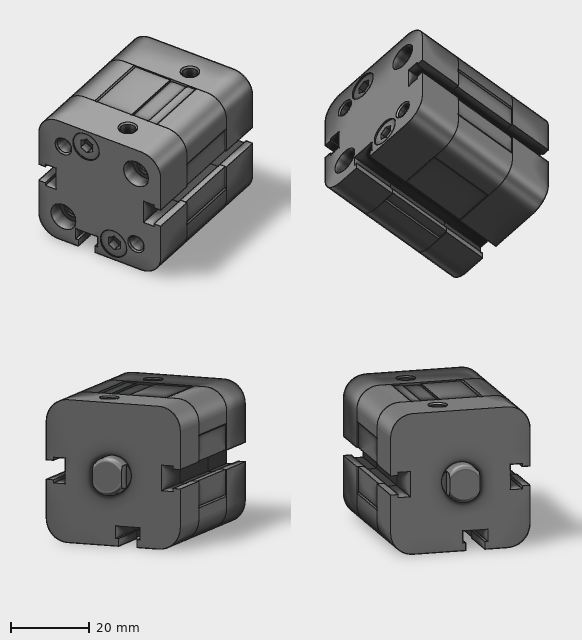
import cadquery as cq
import math

width = 37.0
total_length = 47.5
cap_length = 12.35
barrel_length = 18.52
corner_radius = 6.0
half_width = width / 2
body_length = 2 * cap_length + barrel_length
rear_cap_start = cap_length + barrel_length

slot_opening = 5.05
slot_inner_width = 6.65
slot_depth = 5.22
lip_thickness = 2.0
bottom_slot_x = -4.0

panel_width = 18.9
panel_depth = 0.4

groove_x = -bottom_slot_x
groove_width = 5.1
groove_edge_depth = 0.95
crown_depth = 0.65
crown_flat_width = 1.95

thread_diameter = 4.15
thread_mouth_diameter = 5.0
thread_chamfer = (thread_mouth_diameter - thread_diameter) / 2
mounting_offset = 11.0
mounting_hole_depth = 9.5
counterbore_diameter = 7.5
counterbore_depth = 4.2
port_x = groove_x
port_inset = 7.05
port_depth = 5.7

screw_x = 4.2
screw_z = 13.6
screw_diameter = 8.0
screw_recess = 0.4
hex_across_flats = 3.6
hex_depth = 2.85

rod_diameter = 9.98
rod_end_fillet = 1.25
rod_flats_width = 8.0
rod_flats_clearance = 0.95
rod_projection = total_length - body_length
rod_length = rod_projection + cap_length


def extrude_along_y(outline, start, length):
    """Extrude a closed XZ outline from Y = start towards +Y."""
    return outline.extrude(-length).translate((0, start, 0))


def turned_to_side(shape, quarter_turns):
    """Turn a shape about the cylinder axis from the bottom to another side."""
    return shape.rotate((0, 0, 0), (0, 1, 0), 90 * quarter_turns)


def t_slot(start, length):
    """Cutter for a T-slot in the bottom: a narrow opening between two lips and a wider channel."""
    opening = slot_opening / 2
    inner = slot_inner_width / 2
    floor_z = -half_width + slot_depth
    lip_z = -half_width + lip_thickness
    half = [(opening, -half_width), (opening, lip_z), (inner, lip_z), (inner, floor_z)]
    mirrored = [(-x, z) for x, z in reversed(half)]
    return extrude_along_y(cq.Workplane("XZ").polyline(half + mirrored).close(), start, length)


def profile_block(start, length):
    """Square block with rounded long edges and T-slots on three sides."""
    block = extrude_along_y(cq.Workplane("XZ").rect(width, width), start, length)
    block = block.edges("|Y").fillet(corner_radius)
    slot = t_slot(start, length)
    for quarter_turns in (-1, 1):
        block = block.cut(turned_to_side(slot, quarter_turns))
    return block.cut(slot.translate((bottom_slot_x, 0, 0)))


def threaded_hole(depth):
    """Cutter for a chamfered blind hole entering along +Y from the origin."""
    radius = thread_diameter / 2
    mouth = thread_mouth_diameter / 2
    half_section = [(0, 0), (mouth, 0), (radius, thread_chamfer), (radius, depth), (0, depth)]
    return cq.Workplane("XY").polyline(half_section).close().revolve(360, (0, 0, 0), (0, 1, 0))


def cylinder_along_y(diameter, start, length):
    return extrude_along_y(cq.Workplane("XZ").circle(diameter / 2), start, length)


def with_port(cap, y):
    """Cut the threaded port into the top of a cap."""
    port = threaded_hole(port_depth).rotate((0, 0, 0), (1, 0, 0), -90)
    return cap.cut(port.translate((port_x, y, half_width)))


def make_front_cap():
    cap = with_port(profile_block(0, cap_length), port_inset)

    counterbore = cylinder_along_y(counterbore_diameter, 0, counterbore_depth)
    for x_side in (-1, 1):
        for z_side in (-1, 1):
            x = x_side * mounting_offset
            z = z_side * mounting_offset
            start = 0
            if x_side == z_side:
                start = counterbore_depth
                cap = cap.cut(counterbore.translate((x, 0, z)))
            cap = cap.cut(threaded_hole(mounting_hole_depth - start).translate((x, start, z)))

    hex_diameter = hex_across_flats / math.cos(math.pi / 6)
    socket = cq.Workplane("XZ").polygon(6, hex_diameter).extrude(-hex_depth)
    socket = socket.rotate((0, 0, 0), (0, 1, 0), 30)
    screw_head = cylinder_along_y(screw_diameter, 0, screw_recess).union(socket)
    for side in (-1, 1):
        cap = cap.cut(screw_head.translate((side * screw_x, 0, -side * screw_z)))
    return cap


def make_rear_cap():
    cap = with_port(profile_block(rear_cap_start, cap_length), body_length - port_inset)
    return cap.cut(cylinder_along_y(rod_diameter, rear_cap_start, cap_length))


def panel_recess():
    """Cutter for the shallow panel in the bottom of the barrel."""
    outer = panel_width / 2
    inner = outer - panel_depth
    floor_z = -half_width + panel_depth
    points = [(-outer, -half_width), (outer, -half_width), (inner, floor_z), (-inner, floor_z)]
    return extrude_along_y(cq.Workplane("XZ").polyline(points).close(), cap_length, barrel_length)


def crowned_groove():
    """Cutter for the top groove, its floor flat in the middle and curving down to both walls."""
    edge = groove_width / 2
    flat = crown_flat_width / 2
    edge_z = half_width - groove_edge_depth
    flat_z = half_width - crown_depth
    run = edge - flat
    drop = flat_z - edge_z
    crown_radius = (run**2 + drop**2) / (2 * drop)
    half_angle = math.asin(run / crown_radius) / 2
    crown_mid_x = flat + crown_radius * math.sin(half_angle)
    crown_mid_z = flat_z - crown_radius * (1 - math.cos(half_angle))
    outline = (
        cq.Workplane("XZ")
        .moveTo(-edge, half_width)
        .lineTo(-edge, edge_z)
        .threePointArc((-crown_mid_x, crown_mid_z), (-flat, flat_z))
        .lineTo(flat, flat_z)
        .threePointArc((crown_mid_x, crown_mid_z), (edge, edge_z))
        .lineTo(edge, half_width)
        .close()
    )
    return extrude_along_y(outline, cap_length, barrel_length).translate((groove_x, 0, 0))


def make_barrel():
    barrel = profile_block(cap_length, barrel_length)
    panel = panel_recess()
    for quarter_turns in range(4):
        barrel = barrel.cut(turned_to_side(panel, quarter_turns))
    return barrel.cut(crowned_groove())


def make_rod():
    """Round rod with two wrench flats that ramp out at 45 degrees towards the rear cap."""
    rod = cylinder_along_y(rod_diameter, rear_cap_start, rod_length)
    rod = rod.faces(">Y").edges().fillet(rod_end_fillet)
    flat_x = rod_flats_width / 2
    flat_start = body_length + rod_flats_clearance
    outer_x = rod_diameter / 2
    ramp = outer_x - flat_x
    points = [
        (flat_x, flat_start),
        (outer_x, flat_start - ramp),
        (outer_x, total_length),
        (flat_x, total_length),
    ]
    flat = cq.Workplane("XY").polyline(points).close().extrude(outer_x, both=True)
    return rod.cut(flat).cut(flat.mirror("YZ"))


front_cap = make_front_cap()
barrel = make_barrel()
rear_cap = make_rear_cap()
rod = make_rod()

result = cq.Compound.makeCompound([front_cap.val(), barrel.val(), rear_cap.val(), rod.val()])